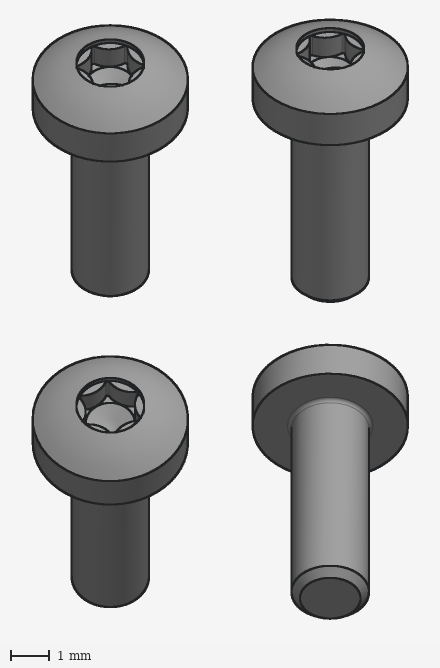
import cadquery as cq
import math

total_length = 7.6
head_radius = 4.0 / 2
head_height = 1.595
head_rim_height = 1.01
shank_radius = 2.0 / 2
underhead_fillet = 0.1
tip_chamfer = 0.22

socket_radius = 1.75 / 2
socket_depth = 0.75
lobe_count = 6
lobe_inner_radius = 0.64
point_radius = 0.87
point_width = 0.09
point_rise = 0.02
counterbore_depth = 0.13
drill_radius = 0.63
drill_cone_angle = 136.0

head_base = total_length - head_height
rim_top = head_base + head_rim_height
socket_floor = total_length - socket_depth


def polar(radius, degrees):
    angle = math.radians(degrees)
    return (radius * math.cos(angle), radius * math.sin(angle))


def make_body():
    """Revolve the shank and head, with a dome centred on the axis."""
    dome_height = total_length - rim_top
    dome_center = (total_length + rim_top) / 2 - (head_radius**2 - socket_radius**2) / (2 * dome_height)
    dome_radius = math.hypot(head_radius, rim_top - dome_center)
    middle_radius = (head_radius + socket_radius) / 2
    dome_middle = (middle_radius, dome_center + math.sqrt(dome_radius**2 - middle_radius**2))
    fillet_middle = underhead_fillet * (1 - math.sqrt(0.5))

    profile = (
        cq.Workplane("XZ")
        .lineTo(shank_radius - tip_chamfer, 0)
        .lineTo(shank_radius, tip_chamfer)
        .lineTo(shank_radius, head_base - underhead_fillet)
        .threePointArc(
            (shank_radius + fillet_middle, head_base - fillet_middle),
            (shank_radius + underhead_fillet, head_base),
        )
        .lineTo(head_radius, head_base)
        .lineTo(head_radius, rim_top)
        .threePointArc(dome_middle, (socket_radius, total_length))
        .lineTo(0, total_length)
        .close()
    )
    return profile.revolve(360, (0, 0, 0), (0, 1, 0))


def make_star():
    """Star prism with rounded points, joined by arcs bulging toward the axis."""
    pitch = 360 / lobe_count
    flank_radius = point_radius - point_rise
    half_angle = math.degrees(math.asin(point_width / 2 / flank_radius))
    outline = cq.Workplane("XY", origin=(0, 0, socket_floor)).moveTo(*polar(flank_radius, -half_angle))
    for lobe in range(lobe_count):
        angle = lobe * pitch
        outline = outline.threePointArc(
            polar(point_radius, angle),
            polar(flank_radius, angle + half_angle),
        ).threePointArc(
            polar(lobe_inner_radius, angle + pitch / 2),
            polar(flank_radius, angle + pitch - half_angle),
        )
    return outline.close().extrude(socket_depth)


def make_counterbore():
    """Shallow round recess at the mouth of the socket."""
    return cq.Workplane("XY", origin=(0, 0, total_length)).circle(socket_radius).extrude(-counterbore_depth)


def make_drill_point():
    """Cone left by the drill below the socket floor."""
    cone_depth = drill_radius / math.tan(math.radians(drill_cone_angle / 2))
    return (
        cq.Workplane("XZ", origin=(0, 0, socket_floor))
        .lineTo(drill_radius, 0)
        .lineTo(0, -cone_depth)
        .close()
        .revolve(360, (0, 0, 0), (0, 1, 0))
    )


result = make_body().cut(make_counterbore()).cut(make_star()).cut(make_drill_point())